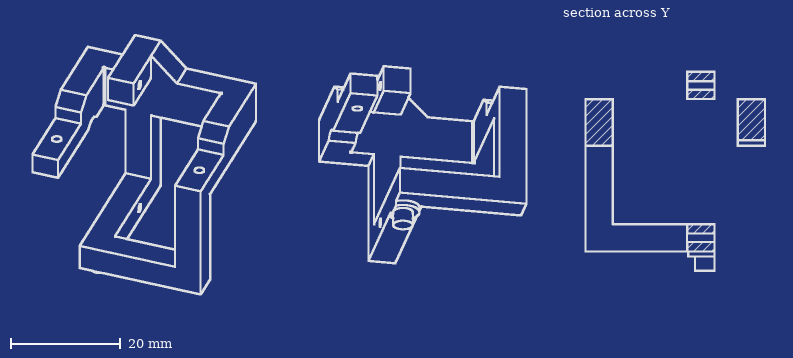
import cadquery as cq

WIDTH = 32.75
DEPTH = 29.0
BAR = 5.0

BASE_LEFT = 9.2
YOKE_BOTTOM = 19.28

YOKE_TOP = 27.77
ARM_TOP = 23.3
BEVEL_LENGTH = 2.83
BEVEL_DROP = 1.95
RELIEF_RADIUS = 0.25

TOP_BAR_LENGTH = 14.15

CROSS_HOLE_DIAMETER = 1.5
CROSS_HOLE_Y = 18.0
ARM_HOLE_DIAMETER = 1.75
ARM_HOLE_Y = 6.03
NOTCH_RADIUS = 2.72
NOTCH_HEIGHT = 0.98

PIN_DIAMETER = 3.6
FLANGE_DIAMETER = 6.05
FLANGE_THICKNESS = 0.95
PIN_DROP = 3.52

top_bar_top = YOKE_TOP + BAR
rear_inner_y = DEPTH - BAR
right_inner_x = WIDTH - BAR
bevel_start_y = DEPTH - TOP_BAR_LENGTH
bevel_end_y = bevel_start_y - BEVEL_LENGTH


def block(x0, x1, y0, y1, z0, z1):
    """Box between opposite corners."""
    return cq.Workplane("XY").box(x1 - x0, y1 - y0, z1 - z0, centered=False).translate((x0, y0, z0))


def z_cylinder(x, y, radius, z0, z1):
    """Vertical cylinder."""
    return cq.Workplane("XY", origin=(x, y, z0)).circle(radius).extrude(z1 - z0)


def x_cylinder(y, z, radius, x0, x1):
    """Cylinder along X."""
    return cq.Workplane("YZ", origin=(x0, y, z)).circle(radius).extrude(x1 - x0)


def make_yoke():
    """Stepped, bevelled side profile hollowed out to a U."""
    profile = [
        (0, YOKE_BOTTOM),
        (DEPTH, YOKE_BOTTOM),
        (DEPTH, YOKE_TOP),
        (bevel_start_y, YOKE_TOP),
        (bevel_end_y, YOKE_TOP - BEVEL_DROP),
        (bevel_end_y, ARM_TOP),
        (0, ARM_TOP),
    ]
    yoke = cq.Workplane("YZ").polyline(profile).close().extrude(WIDTH)
    yoke = yoke.cut(block(BAR, right_inner_x, 0, rear_inner_y, YOKE_BOTTOM, YOKE_TOP))
    for x in (BAR, right_inner_x):
        yoke = yoke.cut(z_cylinder(x, rear_inner_y, RELIEF_RADIUS, YOKE_BOTTOM, YOKE_TOP))
    for x in (BAR / 2, WIDTH - BAR / 2):
        yoke = yoke.cut(z_cylinder(x, ARM_HOLE_Y, ARM_HOLE_DIAMETER / 2, YOKE_BOTTOM, YOKE_TOP))
    notch_z = YOKE_BOTTOM + NOTCH_HEIGHT - NOTCH_RADIUS
    return yoke.cut(x_cylinder(CROSS_HOLE_Y, notch_z, NOTCH_RADIUS, 0, BAR))


def make_lower_frame():
    """L-shaped base with a rear left and a front right column."""
    left_bar = block(BASE_LEFT, BASE_LEFT + BAR, 0, DEPTH, 0, BAR)
    front_bar = block(BASE_LEFT, WIDTH, 0, BAR, 0, BAR)
    rear_column = block(BASE_LEFT, BASE_LEFT + BAR, rear_inner_y, DEPTH, 0, YOKE_BOTTOM)
    front_column = block(right_inner_x, WIDTH, 0, BAR, 0, YOKE_BOTTOM)
    return left_bar.union(front_bar).union(rear_column).union(front_column)


def make_top_bar():
    """Overhanging bar braced by a 45 degree gusset on the yoke."""
    bar = block(BASE_LEFT, BASE_LEFT + BAR, bevel_start_y, DEPTH, YOKE_TOP, top_bar_top)
    gusset_x = BASE_LEFT + BAR
    gusset = (
        cq.Workplane("XZ", origin=(0, DEPTH, 0))
        .polyline([(gusset_x, YOKE_TOP), (gusset_x + BAR, YOKE_TOP), (gusset_x, top_bar_top)])
        .close()
        .extrude(BAR)
    )
    return bar.union(gusset)


def make_pin():
    """Pin tangent to the left base face, its flange trimmed flush with that face."""
    pin_x = BASE_LEFT + PIN_DIAMETER / 2
    pin = z_cylinder(pin_x, ARM_HOLE_Y, PIN_DIAMETER / 2, -PIN_DROP, 0)
    flange = z_cylinder(pin_x, ARM_HOLE_Y, FLANGE_DIAMETER / 2, -FLANGE_THICKNESS, 0)
    flange = flange.cut(block(0, BASE_LEFT, 0, DEPTH, -FLANGE_THICKNESS, 0))
    return pin.union(flange)


result = make_yoke().union(make_lower_frame()).union(make_top_bar()).union(make_pin())

for hole_z in (BAR / 2, YOKE_TOP + BAR / 2):
    result = result.cut(
        x_cylinder(CROSS_HOLE_Y, hole_z, CROSS_HOLE_DIAMETER / 2, BASE_LEFT, BASE_LEFT + BAR)
    )